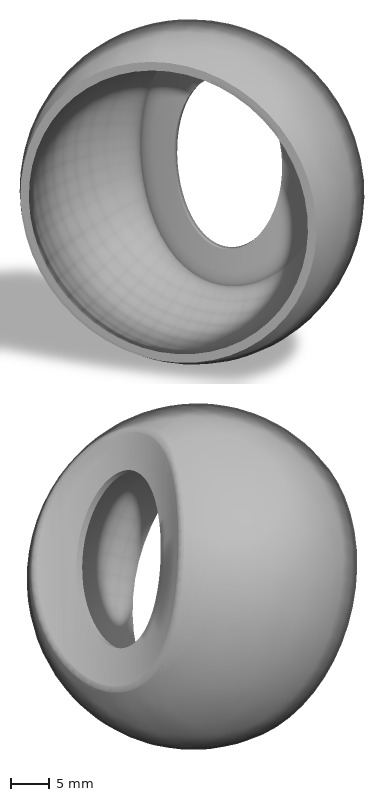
import math

import cadquery as cq


barrel_radius = 22.635
barrel_arc_radius = 20.2
wall = 1.05
rim_depth = 8.88

saddle_radius = 26.0
saddle_floor_y = 13.6
saddle_edge_fillet = 1.0

hole_width = 15.0
hole_height = 23.75

arc_center_offset = barrel_radius - barrel_arc_radius
saddle_axis_y = saddle_floor_y + saddle_radius
cutter_reach = 2 * barrel_radius


def barrel(arc_radius):
    """Solid of revolution about Y, from the rim plane to the tip of the profile arc."""
    rim_radius = arc_center_offset + math.sqrt(arc_radius**2 - rim_depth**2)
    tip_y = math.sqrt(arc_radius**2 - arc_center_offset**2)
    tip_angle = math.acos(-arc_center_offset / arc_radius)
    rim_angle = -math.asin(rim_depth / arc_radius)
    middle_angle = (tip_angle + rim_angle) / 2
    middle = (
        arc_radius * math.sin(middle_angle),
        arc_center_offset + arc_radius * math.cos(middle_angle),
    )
    return (
        cq.Workplane("YZ")
        .moveTo(-rim_depth, 0)
        .lineTo(-rim_depth, rim_radius)
        .threePointArc(middle, (tip_y, 0))
        .close()
        .revolve(360, (0, 0, 0), (1, 0, 0))
    )


def saddle_cylinder(radius):
    """Upright cylinder about the saddle axis."""
    return (
        cq.Workplane("XY")
        .center(0, saddle_axis_y)
        .circle(radius)
        .extrude(cutter_reach, both=True)
    )


def outer_body():
    """Solid barrel with the saddle hollowed out of its end and the saddle edge rounded."""
    body = barrel(barrel_arc_radius).cut(saddle_cylinder(saddle_radius))
    return body.edges(">Y").fillet(saddle_edge_fillet)


def cavity():
    """Inside space, one wall thickness from the barrel and from the saddle."""
    return barrel(barrel_arc_radius - wall).cut(saddle_cylinder(saddle_radius + wall))


def oval_hole():
    """Elliptical cutter running from Y = 0 out through the saddle."""
    return (
        cq.Workplane("XZ")
        .ellipse(hole_width / 2, hole_height / 2)
        .extrude(-cutter_reach)
    )


result = outer_body().cut(cavity()).cut(oval_hole())